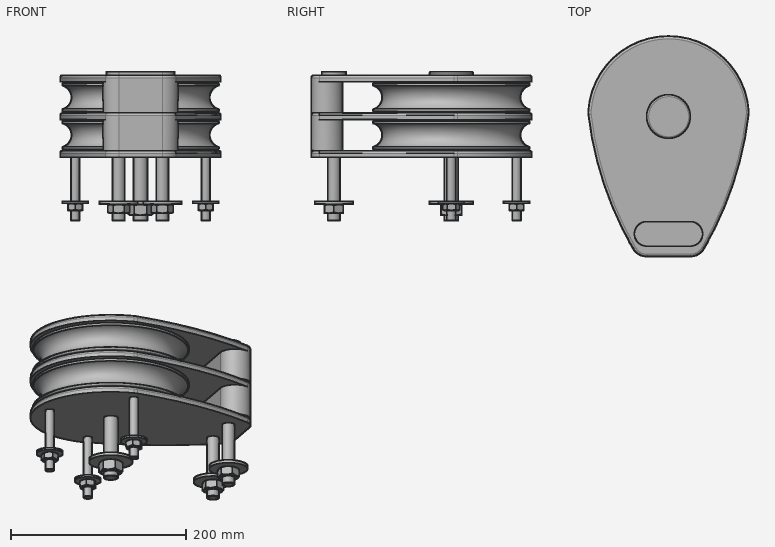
import cadquery as cq
import math


head_radius = 92.0
overall_length = 252.0
front_y = head_radius - overall_length
plate_thickness = 7.8
plate_pitch = 43.0
plate_count = 3
plate_edge_round = 3.0
shoulder_y = 4.5
shoulder_blend = 21.5
side_bulge = 8.5
corner_angle = math.radians(30)

post_end_radius = 18.0
bolt_spacing = 50.0
post_center_y = front_y + post_end_radius
plate_top = (plate_count - 1) * plate_pitch + plate_thickness

sheave_radius = 89.7
sheave_width = 32.3
groove_radius = 79.1
rim_width = 3.0
hub_radius = 62.0

head_height = 4.0
pin_head_diameter = 50.0
pin_head_round = 2.0
pad_width = 28.0
pad_center_y = front_y + 26.0

bolt_bottom = -72.5
washer_top = -50.0
bolt_end_chamfer = 0.8
nut_face_margin = 0.8
small_bolt_circle_radius = 74.5

PIN = (16.5, 50.0, 3.5, 24.0, 12.9)
FRONT_BOLT = (14.0, 44.0, 3.5, 22.0, 10.5)
SMALL_BOLT = (10.0, 30.0, 2.5, 17.0, 8.3)


def cheek_plate():
    """Teardrop plate: round head, bowed sides, flat front with round corners."""
    half_flat = bolt_spacing / 2
    shoulder_x = math.sqrt(head_radius**2 - shoulder_y**2)
    corner_x = half_flat + post_end_radius * math.cos(corner_angle)
    corner_y = post_center_y - post_end_radius * math.sin(corner_angle)
    corner_mid_angle = (corner_angle + math.pi / 2) / 2
    corner_mid_x = half_flat + post_end_radius * math.cos(corner_mid_angle)
    corner_mid_y = post_center_y - post_end_radius * math.sin(corner_mid_angle)

    chord_x = shoulder_x - corner_x
    chord_y = shoulder_y - corner_y
    chord = math.hypot(chord_x, chord_y)
    side_mid_x = (shoulder_x + corner_x) / 2 + side_bulge * chord_y / chord
    side_mid_y = (shoulder_y + corner_y) / 2 - side_bulge * chord_x / chord

    plate = (
        cq.Workplane("XY")
        .moveTo(-shoulder_x, shoulder_y)
        .threePointArc((0, head_radius), (shoulder_x, shoulder_y))
        .threePointArc((side_mid_x, side_mid_y), (corner_x, corner_y))
        .threePointArc((corner_mid_x, corner_mid_y), (half_flat, front_y))
        .lineTo(-half_flat, front_y)
        .threePointArc((-corner_mid_x, corner_mid_y), (-corner_x, corner_y))
        .threePointArc((-side_mid_x, side_mid_y), (-shoulder_x, shoulder_y))
        .close()
        .extrude(plate_thickness)
    )
    shoulders = cq.selectors.BoxSelector(
        (-2 * head_radius, shoulder_y - 2.5, 0),
        (2 * head_radius, shoulder_y + 2.5, plate_thickness),
    )
    plate = plate.edges("|Z").edges(shoulders).fillet(shoulder_blend)
    return plate.faces(">Z").edges().fillet(plate_edge_round)


def sheave():
    """Grooved wheel centred on Z = 0, with hub faces reaching the plates."""
    half_width = sheave_width / 2
    mouth_z = half_width - rim_width
    rim_middle_z = half_width - rim_width / 2
    mouth_radius = sheave_radius - rim_width / 2
    wheel = (
        cq.Workplane("XZ")
        .moveTo(0, -half_width)
        .lineTo(mouth_radius, -half_width)
        .threePointArc((sheave_radius, -rim_middle_z), (mouth_radius, -mouth_z))
        .threePointArc((groove_radius, 0), (mouth_radius, mouth_z))
        .threePointArc((sheave_radius, rim_middle_z), (mouth_radius, half_width))
        .lineTo(0, half_width)
        .close()
        .revolve(360, (0, 0, 0), (0, 1, 0))
    )
    gap = plate_pitch - plate_thickness
    hub = cq.Workplane("XY").circle(hub_radius).extrude(gap / 2, both=True)
    return wheel.union(hub)


def spacer_post():
    """Obround post filling one gap between plates, flush with their front."""
    return (
        cq.Workplane("XY")
        .center(0, post_center_y)
        .slot2D(bolt_spacing + 2 * post_end_radius, 2 * post_end_radius)
        .extrude(plate_pitch - plate_thickness)
    )


def nut(across_flats, height):
    """Hexagon nut below Z = 0, corners along X, corners eased at both faces."""
    across_corners = across_flats / math.cos(math.pi / 6)
    corner_ease = (across_corners - across_flats) / 2 + nut_face_margin
    envelope = (
        cq.Workplane("XY")
        .circle(across_corners / 2)
        .extrude(-height)
        .edges()
        .chamfer(corner_ease * math.tan(math.pi / 6), corner_ease)
    )
    return cq.Workplane("XY").polygon(6, across_corners).extrude(-height).intersect(envelope)


def fastener(sizes):
    """Bolt shank on the Z axis with its washer and nut."""
    bolt_diameter, washer_diameter, washer_thickness, nut_flats, nut_height = sizes
    shank = (
        cq.Workplane("XY")
        .workplane(offset=bolt_bottom)
        .circle(bolt_diameter / 2)
        .extrude(plate_thickness / 2 - bolt_bottom)
        .faces("<Z")
        .chamfer(bolt_end_chamfer)
    )
    washer = (
        cq.Workplane("XY")
        .workplane(offset=washer_top)
        .circle(washer_diameter / 2)
        .extrude(-washer_thickness)
    )
    hex_nut = nut(nut_flats, nut_height).translate((0, 0, washer_top - washer_thickness))
    return shank.union(washer).union(hex_nut)


def pin_head():
    """Low round head of the sheave pin on the top plate."""
    return (
        cq.Workplane("XY")
        .workplane(offset=plate_top)
        .circle(pin_head_diameter / 2)
        .extrude(head_height)
        .faces(">Z")
        .edges()
        .fillet(pin_head_round)
    )


def bolt_pad():
    """Obround pad over the two front bolts."""
    return (
        cq.Workplane("XY")
        .workplane(offset=plate_top)
        .center(0, pad_center_y)
        .slot2D(bolt_spacing + pad_width, pad_width)
        .extrude(head_height)
    )


result = cheek_plate()
for level in range(1, plate_count):
    plate_z = level * plate_pitch
    gap_bottom = plate_z - plate_pitch + plate_thickness
    gap_middle = (gap_bottom + plate_z) / 2
    result = result.union(sheave().translate((0, 0, gap_middle)))
    result = result.union(spacer_post().translate((0, 0, gap_bottom)))
    result = result.union(cheek_plate().translate((0, 0, plate_z)))

result = result.union(pin_head()).union(bolt_pad())

result = result.union(fastener(PIN))
for side in (-1, 1):
    front_bolt = fastener(FRONT_BOLT).translate((side * bolt_spacing / 2, pad_center_y, 0))
    result = result.union(front_bolt)

for angle in (0, 90, 180):
    small_bolt = (
        fastener(SMALL_BOLT)
        .rotate((0, 0, 0), (0, 0, 1), 90)
        .translate((small_bolt_circle_radius, 0, 0))
        .rotate((0, 0, 0), (0, 0, 1), angle)
    )
    result = result.union(small_bolt)